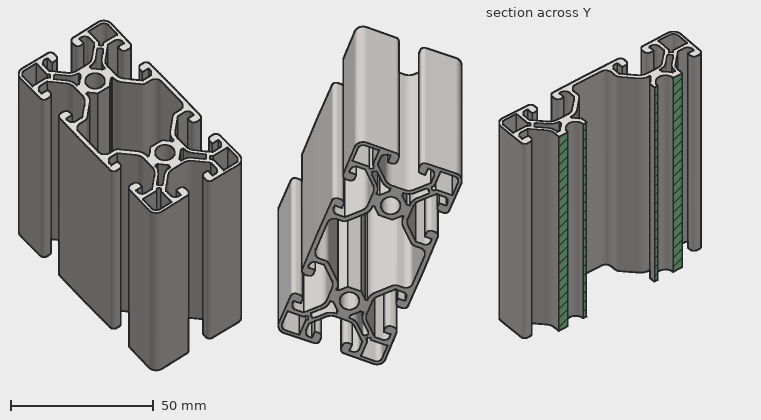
import cadquery as cq
import math

length = 90.0
width = 80.0
module = width / 2
half = module / 2
face_dip = 0.15
corner_radius = 3.2

mouth_half = module / 10
lip_root_half = 7.0
lip_depth = 4.5
lip_radius = 1.6
slot_roof_depth = 1.8
slot_roof_radius = 2.0
slot_wall_half = 10.0
slot_wall_depth = 6.7
slot_floor_depth = 12.5
slot_floor_radius = 4.1

hole_diameter = 6.8
core_distance = 5.3
core_half = 4.95
core_neck_half = 2.4
diagonal_wall = 1.3
diagonal_half = 1.1
diagonal_end_distance = 14.6
diagonal_end_radius = 0.7
web_radius = 4.95

corner_wall = 1.3
corner_cavity_end = 8.5
corner_cavity_radius = 2.0
relief_center = 8.3
relief_radius = 0.8

center_skin = 1.8
center_wall = 1.7
center_roof_radius = 2.5
center_bend_radius = 2.7


def rounded_prism(points):
    """Extrude a closed outline of (x, y, corner radius) points over the full length."""
    starts, middles, ends = [], [], []
    for i, (x, y, radius) in enumerate(points):
        corner = cq.Vector(x, y)
        to_last = (cq.Vector(*points[i - 1][:2]) - corner).normalized()
        to_next = (cq.Vector(*points[(i + 1) % len(points)][:2]) - corner).normalized()
        half_angle = to_last.getAngle(to_next) / 2
        setback = radius / math.tan(half_angle)
        bulge = radius / math.sin(half_angle) - radius
        starts.append(corner + to_last * setback)
        ends.append(corner + to_next * setback)
        middles.append(corner + (to_last + to_next).normalized() * bulge if radius else None)

    outline = cq.Workplane("XY").moveTo(ends[-1].x, ends[-1].y)
    for start, middle, end in zip(starts, middles, ends):
        outline = outline.lineTo(start.x, start.y)
        if middle is not None:
            outline = outline.threePointArc(middle.toTuple()[:2], end.toTuple()[:2])
    return outline.close().extrude(length)


def mirror_x(points):
    return [(-x, y, radius) for x, y, radius in reversed(points)]


def mirror_y(points):
    return [(x, -y, radius) for x, y, radius in reversed(points)]


def four_quarters(quarter, ridge=()):
    """Mirror a counterclockwise first-quadrant outline about both axes; ridge points lie at x = 0."""
    upper = quarter + list(ridge) + mirror_x(quarter)
    return upper + mirror_y(upper)


def slot_side():
    """Half a T-slot from floor to mouth, as (offset, depth, corner radius)."""
    floor_half = slot_wall_half - (slot_floor_depth - slot_wall_depth)
    return [
        (floor_half, slot_floor_depth, slot_floor_radius),
        (slot_wall_half, slot_wall_depth, 0),
        (slot_wall_half, slot_roof_depth, slot_roof_radius),
        (lip_root_half, slot_roof_depth, 0),
        (lip_root_half, lip_depth, 0),
        (mouth_half, lip_depth, lip_radius),
        (mouth_half, face_dip, lip_radius),
    ]


def body():
    """Solid section with the six T-slots, before the closed cavities are cut."""
    side = slot_side()
    end_slot = [(width / 2 - depth, offset, radius) for offset, depth, radius in side]
    corner_rise = face_dip * corner_radius / (half - mouth_half - corner_radius)
    corner = [(width / 2 + corner_rise, half + corner_rise, corner_radius)]
    top_slot_outer = [(half + offset, half - depth, radius) for offset, depth, radius in reversed(side)]
    top_slot_inner = [(half - offset, half - depth, radius) for offset, depth, radius in side]
    quarter = end_slot + corner + top_slot_outer + top_slot_inner
    return rounded_prism(four_quarters(quarter, ridge=[(0, half, 0)]))


def corner_cavity():
    """Cavity in the +X +Y corner, with a round relief at its inner corner."""
    x_out, y_out = width / 2 - corner_wall, half - corner_wall
    x_in, y_in = width / 2 - corner_cavity_end, half - corner_cavity_end
    square = rounded_prism(
        [(x_in, y_in, 0), (x_out, y_in, 0), (x_out, y_out, corner_cavity_radius), (x_in, y_out, 0)]
    )
    relief = (
        cq.Workplane("XY")
        .center(width / 2 - relief_center, half - relief_center)
        .circle(relief_radius)
        .extrude(length)
    )
    return square.union(relief)


def diagonal_pocket():
    """Pocket between the +X +Y corner and its core, symmetric about the diagonal."""
    rise = diagonal_half * math.sqrt(2)
    floor = half - slot_floor_depth - diagonal_wall
    end_mid = diagonal_end_distance / math.sqrt(2)
    core_edge = core_distance * math.sqrt(2) - core_neck_half
    above = [
        (end_mid - rise / 2, end_mid + rise / 2, diagonal_end_radius),
        (floor - rise, floor, web_radius),
        (core_neck_half, floor, 0),
        (core_neck_half, core_edge, 0),
    ]
    below = [(y, x, radius) for x, y, radius in reversed(above)]
    return rounded_prism(above + below).translate((half, 0, 0))


def center_cavity():
    """Large cavity in the middle; its points are first measured from a hole centre toward x = 0."""
    floor = half - slot_floor_depth - center_wall
    wall = slot_wall_half + center_wall
    rise = half - slot_wall_depth - slot_wall_half - center_wall * math.sqrt(2)
    core_diagonal = core_distance * math.sqrt(2)
    near_core = [
        (core_half, core_diagonal - core_half, 0),
        (core_neck_half, core_diagonal - core_neck_half, 0),
        (core_neck_half, floor, 0),
        (floor - rise, floor, web_radius),
        (wall, wall + rise, center_bend_radius),
        (wall, half - center_skin, center_roof_radius),
    ]
    return rounded_prism(four_quarters([(half - x, y, radius) for x, y, radius in near_core]))


def screw_holes():
    return (
        cq.Workplane("XY")
        .pushPoints([(-half, 0), (half, 0)])
        .circle(hole_diameter / 2)
        .extrude(length)
    )


result = body().cut(center_cavity()).cut(screw_holes())
for pocket in (corner_cavity(), diagonal_pocket()):
    across = pocket.union(pocket.mirror("YZ"))
    result = result.cut(across).cut(across.mirror("XZ"))